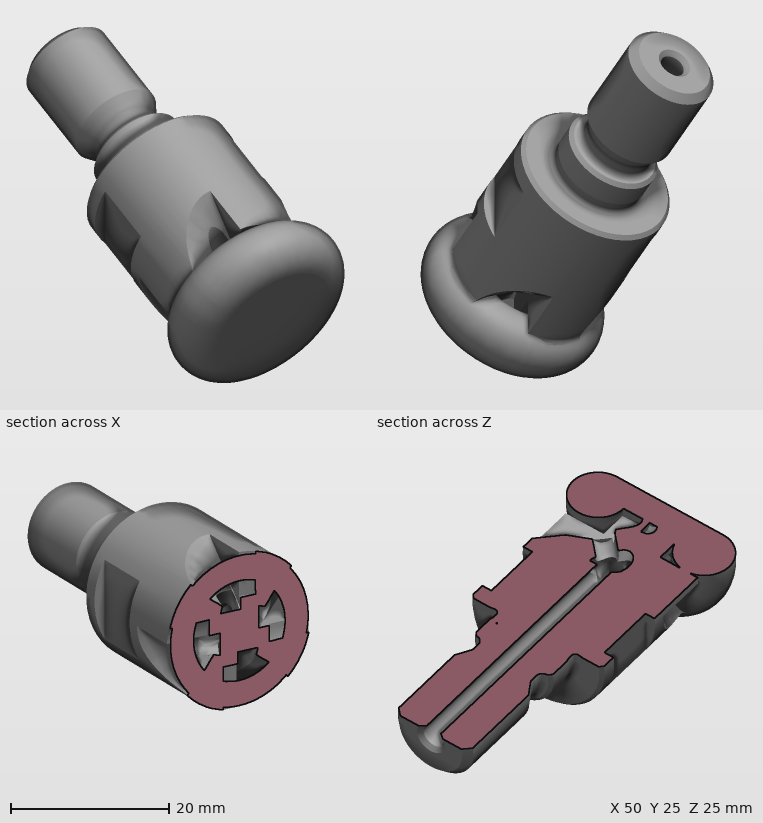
import cadquery as cq
import math

LENGTH = 50.0

SPIGOT_RADIUS = 6.0
SPIGOT_CHAMFER = 1.0
SPIGOT_END = 12.7

WAIST_RADIUS = 4.75
WAIST_BLEND = 1.0
WAIST_TAPER = math.radians(30)

COLLAR_START = 16.95
COLLAR_END = 20.4
COLLAR_RADIUS = 6.25
COLLAR_CHAMFER = COLLAR_RADIUS - WAIST_RADIUS - WAIST_BLEND
UNDERCUT_RADIUS = 6.1
UNDERCUT_FILLET = 0.6
UNDERCUT_ENTRY = math.radians(15)
UNDERCUT_FACE_RADIUS = 7.5
UNDERCUT_FACE_TILT = math.radians(8)

BODY_START = 22.0
BODY_RADIUS = 10.5
BODY_CHAMFER = 0.5
FLAT_START = 24.5
FLAT_END = 33.0
FLAT_DISTANCE = 9.0

HEAD_RADIUS = 12.5
HEAD_ROUND = 4.0
HEAD_CENTRE = LENGTH - HEAD_ROUND
HEAD_RING_RADIUS = HEAD_RADIUS - HEAD_ROUND
HEAD_BLEND = 1.0

JET_COUNT = 4
SLOT_START = 34.8
SLOT_WALL = 0.2
CONE_LENGTH = 15.0
SLOT_APEX = SLOT_START + BODY_RADIUS

CLEARANCE_RADIUS = 6.0
CLEARANCE_START = 42.0
CLEARANCE_FLOOR = HEAD_RING_RADIUS - HEAD_ROUND

JET_RADIUS = 1.5
MEETING_X = 41.2
MEETING_RADIUS = 4.0
FEED_OFFSET = 0.75
FEED_LEAN = math.radians(45)
FEED_BACK = 1.5

JET_OFFSET = 1.35
JET_LEAN = math.radians(25)
JET_LENGTH = 7.5
JET_OVERRUN = JET_RADIUS

BORE_RADIUS = 1.6
BORE_MOUTH_RADIUS = 2.2
BORE_END = 36.5


def make_turned_body():
    """Spigot, waist, collar and body as one revolved outline."""
    blend_run = WAIST_BLEND * math.sin(WAIST_TAPER)
    blend_rise = WAIST_BLEND * (1 - math.cos(WAIST_TAPER))
    taper_rise = SPIGOT_RADIUS - WAIST_RADIUS - blend_rise
    taper_end = SPIGOT_END + taper_rise / math.tan(WAIST_TAPER)
    waist_start = taper_end + blend_run
    taper_mid = (
        waist_start - WAIST_BLEND * math.sin(WAIST_TAPER / 2),
        WAIST_RADIUS + WAIST_BLEND * (1 - math.cos(WAIST_TAPER / 2)),
    )
    waist_end = COLLAR_START - WAIST_BLEND
    diagonal = WAIST_BLEND * math.sqrt(0.5)

    entry_length = (COLLAR_RADIUS - UNDERCUT_RADIUS) / math.tan(UNDERCUT_ENTRY)
    sweep = math.pi / 2 + UNDERCUT_FACE_TILT
    face_radius = UNDERCUT_RADIUS + UNDERCUT_FILLET * (1 - math.cos(sweep))
    face_x = BODY_START + (UNDERCUT_FACE_RADIUS - face_radius) * math.tan(UNDERCUT_FACE_TILT)
    fillet_x = face_x - UNDERCUT_FILLET * math.sin(sweep)
    fillet_mid = (
        fillet_x + UNDERCUT_FILLET * math.sin(sweep / 2),
        UNDERCUT_RADIUS + UNDERCUT_FILLET * (1 - math.cos(sweep / 2)),
    )

    blend_radius = BODY_RADIUS + HEAD_BLEND
    reach = HEAD_ROUND + HEAD_BLEND
    rise = blend_radius - HEAD_RING_RADIUS
    blend_x = HEAD_CENTRE - math.sqrt(reach**2 - rise**2)
    blend_angle = math.acos(rise / reach)
    blend_mid = (
        blend_x + HEAD_BLEND * math.sin(blend_angle / 2),
        blend_radius - HEAD_BLEND * math.cos(blend_angle / 2),
    )
    blend_end = (
        blend_x + HEAD_BLEND * math.sin(blend_angle),
        blend_radius - HEAD_BLEND * math.cos(blend_angle),
    )

    outline = (
        cq.Workplane("XY")
        .moveTo(0, 0)
        .lineTo(0, SPIGOT_RADIUS - SPIGOT_CHAMFER)
        .lineTo(SPIGOT_CHAMFER, SPIGOT_RADIUS)
        .lineTo(SPIGOT_END, SPIGOT_RADIUS)
        .lineTo(taper_end, WAIST_RADIUS + blend_rise)
        .threePointArc(taper_mid, (waist_start, WAIST_RADIUS))
        .lineTo(waist_end, WAIST_RADIUS)
        .threePointArc(
            (waist_end + diagonal, WAIST_RADIUS + WAIST_BLEND - diagonal),
            (COLLAR_START, WAIST_RADIUS + WAIST_BLEND),
        )
        .lineTo(COLLAR_START + COLLAR_CHAMFER, COLLAR_RADIUS)
        .lineTo(COLLAR_END, COLLAR_RADIUS)
        .lineTo(COLLAR_END + entry_length, UNDERCUT_RADIUS)
        .lineTo(fillet_x, UNDERCUT_RADIUS)
        .threePointArc(fillet_mid, (face_x, face_radius))
        .lineTo(BODY_START, UNDERCUT_FACE_RADIUS)
        .lineTo(BODY_START, BODY_RADIUS - BODY_CHAMFER)
        .lineTo(BODY_START + BODY_CHAMFER, BODY_RADIUS)
        .lineTo(blend_x, BODY_RADIUS)
        .threePointArc(blend_mid, blend_end)
        .lineTo(HEAD_CENTRE, blend_end[1])
        .lineTo(HEAD_CENTRE, 0)
        .close()
    )
    return outline.revolve(360, (0, 0, 0), (1, 0, 0))


def make_head():
    """Full round ring closed by a flat-faced disc."""
    ring = (
        cq.Workplane("XY")
        .center(HEAD_CENTRE, HEAD_RING_RADIUS)
        .circle(HEAD_ROUND)
        .revolve(360, (0, -HEAD_RING_RADIUS, 0), (1, -HEAD_RING_RADIUS, 0))
    )
    disc = cq.Workplane("YZ", origin=(HEAD_CENTRE, 0, 0)).circle(HEAD_RING_RADIUS).extrude(HEAD_ROUND)
    return disc.union(ring)


def make_flat_cuts():
    """Blocks that leave two wrench flats, on the -Y and +Y sides."""
    depth = BODY_RADIUS - FLAT_DISTANCE
    block = cq.Workplane("XY").box(FLAT_END - FLAT_START, 2 * depth, 2 * BODY_RADIUS)
    middle = (FLAT_START + FLAT_END) / 2
    near_cut = block.translate((middle, -BODY_RADIUS, 0))
    far_cut = block.translate((middle, BODY_RADIUS, 0))
    return near_cut.union(far_cut)


def make_slot():
    """Jet slot on the -Y side: the part of the cone below its wall, plus the clearance."""
    cone = cq.Workplane(
        cq.Solid.makeCone(0, CONE_LENGTH, CONE_LENGTH, cq.Vector(SLOT_APEX, 0, 0), cq.Vector(0, -1, 0))
    )
    below_wall = (
        cq.Workplane("XY", origin=(SLOT_APEX, -CONE_LENGTH / 2, SLOT_WALL))
        .rect(2 * CONE_LENGTH, CONE_LENGTH)
        .extrude(-2 * CONE_LENGTH)
    )
    clearance = cq.Solid.makeCylinder(
        CLEARANCE_RADIUS,
        CONE_LENGTH,
        cq.Vector(CLEARANCE_START + CLEARANCE_RADIUS, -CLEARANCE_FLOOR, SLOT_WALL),
        cq.Vector(0, -1, 0),
    )
    return cone.intersect(below_wall).union(cq.Workplane(clearance))


def make_jet_passage():
    """Feed hole from the part axis and jet hole out to the -Y slot."""
    feed_direction = cq.Vector(math.sin(FEED_LEAN), -math.cos(FEED_LEAN), 0)
    feed_length = MEETING_RADIUS / math.cos(FEED_LEAN) + FEED_BACK
    feed_end = cq.Vector(MEETING_X, -MEETING_RADIUS, -FEED_OFFSET)
    feed_start = feed_end - feed_direction * feed_length
    feed = cq.Solid.makeCylinder(JET_RADIUS, feed_length, feed_start, feed_direction)

    jet_direction = cq.Vector(-math.sin(JET_LEAN), -math.cos(JET_LEAN), 0)
    meeting_point = cq.Vector(MEETING_X, -MEETING_RADIUS, -JET_OFFSET)
    jet_start = meeting_point - jet_direction * JET_OVERRUN
    jet = cq.Solid.makeCylinder(JET_RADIUS, JET_OVERRUN + JET_LENGTH, jet_start, jet_direction)
    return cq.Workplane(feed).union(cq.Workplane(jet))


def make_bore():
    """Bore from the spigot end, with a 45 degree countersink."""
    countersink = BORE_MOUTH_RADIUS - BORE_RADIUS
    return (
        cq.Workplane("XY")
        .polyline([
            (0, 0),
            (0, BORE_MOUTH_RADIUS),
            (countersink, BORE_RADIUS),
            (BORE_END, BORE_RADIUS),
            (BORE_END, 0),
        ])
        .close()
        .revolve(360, (0, 0, 0), (1, 0, 0))
    )


def spaced_around_axis(shape):
    """Copies of a shape at every jet position around X."""
    step = 360 / JET_COUNT
    return [shape.rotate((0, 0, 0), (1, 0, 0), index * step) for index in range(JET_COUNT)]


part = make_turned_body().cut(make_flat_cuts())
for slot in spaced_around_axis(make_slot()):
    part = part.cut(slot)
part = part.union(make_head())
for passage in spaced_around_axis(make_jet_passage()):
    part = part.cut(passage)
result = part.cut(make_bore())